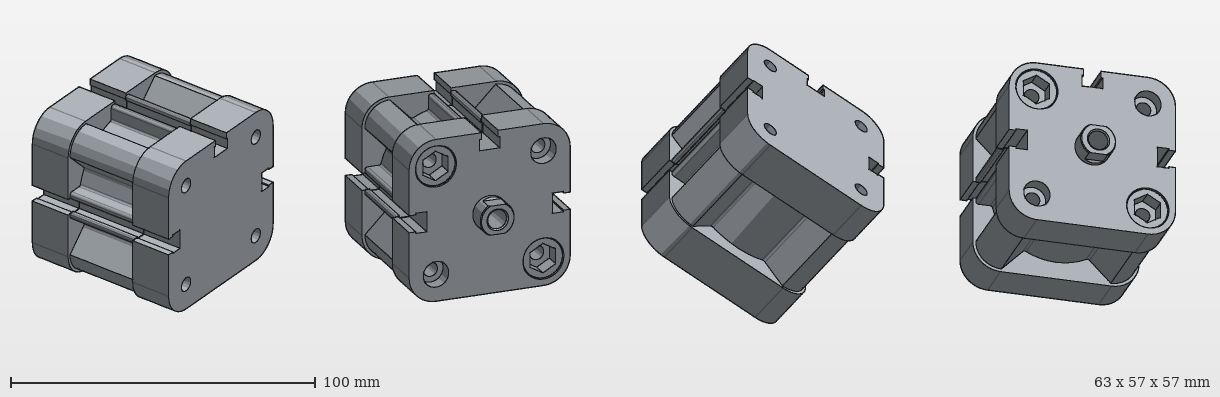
import cadquery as cq
import math

cap_length = 14.75
tube_length = 26.5
rear_cap_start = cap_length + tube_length

cap_size = 57.0
cap_half = cap_size / 2
fixing_offset = 19.0
fixing_hole_d = 5.0
cap_corner_r = cap_half - fixing_offset

all_fixings = [(y, z) for y in (-fixing_offset, fixing_offset) for z in (-fixing_offset, fixing_offset)]
head_fixings = [(y, z) for y, z in all_fixings if y * z > 0]
recess_fixings = [(y, z) for y, z in all_fixings if y * z < 0]

slot_sides = (0, 90, -90)
cap_neck_half = 3.0
cap_neck_depth = 2.35
cap_pocket_half = 3.55
cap_slot_depth = 6.25

recess_d = 9.0
recess_depth = 5.0
hex_across_flats = recess_d
hex_floor = 6.0
head_seat_d = 14.45
head_d = 13.95
head_recess = 0.45
head_groove_depth = 1.0

tube_inset = 1.0
tube_half = cap_half - tube_inset
barrel_r = 22.5
corner_block_r = 8.75
corner_block_root_r = 1.0
rail_half = 5.05
rail_edge_r = 1.0
rail_root_r = 0.75
lip_half = 2.75
lip_edge_r = 0.5
lip_thickness = 1.6
lip_bottom = tube_half - lip_thickness
tube_pocket_half = 3.3
tube_slot_depth = 5.0
tube_slot_floor = tube_half - tube_slot_depth
position_tolerance = 0.01

rod_d = 12.0
rod_reach = 7.0
rod_chamfer_length = 0.45
rod_chamfer_drop = 0.26
flat_across = 10.2
flat_length = 5.15
flat_runout = 0.4
tap_drill_d = 6.65
tap_mouth_d = 7.6
tap_depth = 12.0
drill_point_angle = 118.0


def section(start):
    """Sketch plane across the axis at X = start: local x is +Y, local y is +Z."""
    return cq.Workplane("YZ", origin=(start, 0, 0))


def about_axis(shape, angle):
    """Copy of the shape turned about the cylinder axis."""
    return shape.rotate((0, 0, 0), (1, 0, 0), angle)


def fixing_holes(start, length):
    return section(start).pushPoints(all_fixings).circle(fixing_hole_d / 2).extrude(length)


def make_cap(start):
    """Square cap with rounded corners, four through holes and three sensor slots."""
    cap = section(start).rect(cap_size, cap_size).extrude(cap_length)
    cap = cap.edges("|X").fillet(cap_corner_r)
    cap = cap.cut(fixing_holes(start, cap_length))

    slot_floor = cap_half - cap_slot_depth
    pocket_height = cap_slot_depth - cap_neck_depth
    neck = (
        section(start)
        .center(0, cap_half - cap_slot_depth / 2)
        .rect(2 * cap_neck_half, cap_slot_depth)
        .extrude(cap_length)
    )
    pocket = (
        section(start)
        .center(0, slot_floor + pocket_height / 2)
        .rect(2 * cap_pocket_half, pocket_height)
        .extrude(cap_length)
    )
    for side in slot_sides:
        cap = cap.cut(about_axis(neck.union(pocket), side))
    return cap


def add_front_fixings(cap):
    """Recessed round heads with hex sockets on one diagonal, round recesses on the other."""
    hex_corner_d = hex_across_flats / math.cos(math.pi / 6)
    for y, z in head_fixings:
        socket = cq.Workplane("YZ").polygon(6, hex_corner_d).extrude(hex_floor)
        cap = cap.cut(about_axis(socket, 90).translate((0, y, z)))
    seats = section(0).pushPoints(head_fixings).circle(head_seat_d / 2).extrude(head_recess)
    grooves = (
        section(0)
        .pushPoints(head_fixings)
        .circle(head_seat_d / 2)
        .circle(head_d / 2)
        .extrude(head_groove_depth)
    )
    recesses = section(0).pushPoints(recess_fixings).circle(recess_d / 2).extrude(recess_depth)
    return cap.cut(seats).cut(grooves).cut(recesses)


def make_corner_block():
    """Post around one fixing hole, with 45 degree flanks running into the barrel."""
    inner = tube_half - corner_block_r
    diagonal = corner_block_r * (1 - math.sqrt(0.5))
    return (
        section(cap_length)
        .moveTo(0, corner_block_r)
        .lineTo(inner, tube_half)
        .threePointArc((tube_half - diagonal, tube_half - diagonal), (tube_half, inner))
        .lineTo(corner_block_r, 0)
        .close()
        .extrude(tube_length)
    )


def make_rail():
    """Ridge that carries a sensor slot, rounded along its outer edges."""
    rail = section(cap_length).center(0, tube_half / 2).rect(2 * rail_half, tube_half).extrude(tube_length)
    return rail.edges("|X and >Z").fillet(rail_edge_r)


def make_tube_slot():
    """Undercut slot; its mouth flares out in a rounded lip on each side."""
    neck_top = tube_half - lip_edge_r
    round_mid = lip_edge_r * (1 - math.sqrt(0.5))
    return (
        section(cap_length)
        .moveTo(-tube_pocket_half, tube_slot_floor)
        .lineTo(tube_pocket_half, tube_slot_floor)
        .lineTo(tube_pocket_half, lip_bottom)
        .lineTo(lip_half, lip_bottom)
        .lineTo(lip_half, neck_top)
        .threePointArc((lip_half + round_mid, tube_half - round_mid), (lip_half + lip_edge_r, tube_half))
        .lineTo(-lip_half - lip_edge_r, tube_half)
        .threePointArc((-lip_half - round_mid, tube_half - round_mid), (-lip_half, neck_top))
        .lineTo(-lip_half, lip_bottom)
        .lineTo(-tube_pocket_half, lip_bottom)
        .close()
        .extrude(tube_length)
    )


def round_barrel_roots(tube, radius):
    """Fillet the inside corners where straight flanks meet the round barrel."""

    def on_barrel(edge):
        centre = edge.Center()
        return math.isclose(math.hypot(centre.y, centre.z), barrel_r, abs_tol=position_tolerance)

    return tube.edges("|X").filter(on_barrel).fillet(radius)


def make_tube():
    """Barrel with four corner posts and a slotted rail on each sensor side."""
    tube = section(cap_length).circle(barrel_r).extrude(tube_length)
    for turn in range(4):
        tube = tube.union(about_axis(make_corner_block(), 90 * turn))
    tube = round_barrel_roots(tube, corner_block_root_r)

    rails = section(cap_length).circle(barrel_r).extrude(tube_length)
    for side in slot_sides:
        rails = rails.union(about_axis(make_rail(), side))
    tube = tube.union(round_barrel_roots(rails, rail_root_r))

    for side in slot_sides:
        tube = tube.cut(about_axis(make_tube_slot(), side))
    return tube.cut(fixing_holes(cap_length, tube_length))


def make_rod():
    """Rod with wrench flats and a drilled, chamfered tapping hole in its end."""
    rod_r = rod_d / 2
    rod = (
        cq.Workplane("XY")
        .moveTo(-rod_reach, 0)
        .lineTo(-rod_reach, rod_r - rod_chamfer_drop)
        .lineTo(rod_chamfer_length - rod_reach, rod_r)
        .lineTo(cap_length, rod_r)
        .lineTo(cap_length, 0)
        .close()
        .revolve(360, (0, 0, 0), (1, 0, 0))
    )
    flat = (
        cq.Workplane("XZ")
        .moveTo(-rod_reach, flat_across / 2)
        .lineTo(flat_length - rod_reach, flat_across / 2)
        .lineTo(flat_length + flat_runout - rod_reach, rod_r)
        .lineTo(-rod_reach, rod_r)
        .close()
        .extrude(rod_r, both=True)
    )
    for turn in (0, 180):
        rod = rod.cut(about_axis(flat, turn))

    drill_r = tap_drill_d / 2
    mouth_r = tap_mouth_d / 2
    point_length = drill_r / math.tan(math.radians(drill_point_angle / 2))
    tap = (
        cq.Workplane("XY")
        .moveTo(-rod_reach, 0)
        .lineTo(-rod_reach, mouth_r)
        .lineTo(mouth_r - drill_r - rod_reach, drill_r)
        .lineTo(tap_depth - rod_reach, drill_r)
        .lineTo(tap_depth + point_length - rod_reach, 0)
        .close()
        .revolve(360, (0, 0, 0), (1, 0, 0))
    )
    return rod.cut(tap)


rod_bore = section(0).circle(rod_d / 2).extrude(cap_length)
front_cap = add_front_fixings(make_cap(0)).cut(rod_bore)
tube = make_tube()
rear_cap = make_cap(rear_cap_start)
piston_rod = make_rod()

bodies = (front_cap, tube, rear_cap, piston_rod)
result = cq.Compound.makeCompound([solid for body in bodies for solid in body.solids().vals()])